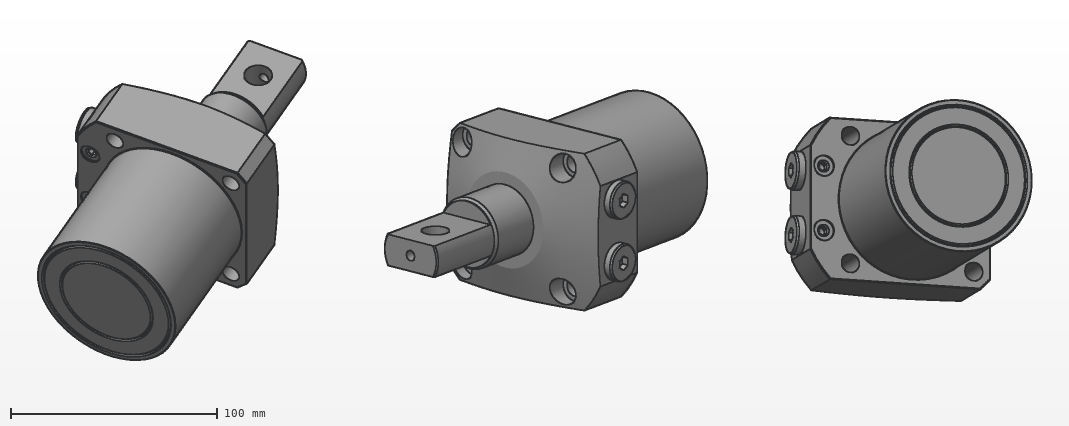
import cadquery as cq
import math


flange_half = 40.0
port_side = 52.0
flange_corner_radius = 58.0
flange_corner_chamfer = 5.0
flange_length = 38.2
flange_edge_chamfer = 0.45
cone_start_radius = 24.3
cone_angle = 16.0
mount_offset = 31.5
mount_hole_diameter = 9.0
counterbore_diameter = 14.0
counterbore_floor_y = 23.5

barrel_radius = 37.5
barrel_length = 71.0
barrel_end_chamfer = 0.27
collar_radius = 37.6
collar_length = 0.5
cap_groove_radius = 34.4
cap_groove_depth = 0.7
disc_groove_radius = 24.6
disc_groove_depth = 0.7

rod_diameter = 36.0
rod_length = 28.5
rod_chamfer_length = 1.6
tang_radius = 16.8
tang_base_length = 0.5
tang_length = 43.5
tang_thickness = 16.0
tang_end_chamfer = 0.7
cross_hole_diameter = 13.5
cross_hole_from_end = 19.0
end_hole_diameter = 5.0

port_offset = 16.0
port_y = 16.1
plug_radius = 9.5
plug_height = 4.5
plug_chamfer_width = 0.5
plug_chamfer_height = 1.0
plug_hex_width = 6.2
plug_hex_depth = 3.6
screw_x = -44.9
screw_radius = 5.0
screw_recess = 1.0
screw_length = 10.0
screw_hex_width = 4.0
screw_hex_depth = 4.5
screw_countersink_radius = 2.9
drill_point_slope = 30.0

rod_radius = rod_diameter / 2
rod_end_y = flange_length + rod_length
tip_y = rod_end_y + tang_length


def cylinder_along_y(radius, start, end):
    return cq.Workplane("XZ", origin=(0, start, 0)).circle(radius).extrude(start - end)


def revolve_about_y(points):
    """Solid of revolution from (radius, y) points."""
    return cq.Workplane("XY").polyline(points).close().revolve(360, (0, 0, 0), (0, 1, 0))


def hex_corner_diameter(width):
    return width / math.cos(math.radians(30))


def make_flange():
    corner_x = -math.sqrt(flange_corner_radius**2 - flange_half**2)
    corner_z = math.sqrt(flange_corner_radius**2 - port_side**2)
    middle_angle = (math.atan2(flange_half, corner_x) + math.atan2(corner_z, -port_side)) / 2
    middle_x = flange_corner_radius * math.cos(middle_angle)
    middle_z = flange_corner_radius * math.sin(middle_angle)
    chamfer_start = flange_half - flange_corner_chamfer
    plate = (
        cq.Workplane("XZ")
        .moveTo(corner_x, flange_half)
        .lineTo(chamfer_start, flange_half)
        .lineTo(flange_half, chamfer_start)
        .lineTo(flange_half, -chamfer_start)
        .lineTo(chamfer_start, -flange_half)
        .lineTo(corner_x, -flange_half)
        .threePointArc((middle_x, -middle_z), (-port_side, -corner_z))
        .lineTo(-port_side, corner_z)
        .threePointArc((middle_x, middle_z), (corner_x, flange_half))
        .close()
        .extrude(-flange_length)
        .faces("<Y")
        .chamfer(flange_edge_chamfer)
    )
    envelope_radius = flange_corner_radius + 1.8
    cone_drop = (envelope_radius - cone_start_radius) * math.tan(math.radians(cone_angle))
    cone_envelope = revolve_about_y([
        (0, 0),
        (envelope_radius, 0),
        (envelope_radius, flange_length - cone_drop),
        (cone_start_radius, flange_length),
        (0, flange_length),
    ])
    return plate.intersect(cone_envelope)


def make_v_groove(radius, depth):
    """Ring that cuts a 90 degree V groove into the barrel end."""
    end = -barrel_length
    return revolve_about_y([(radius - depth, end), (radius + depth, end), (radius, end + depth)])


def make_barrel():
    barrel = cylinder_along_y(barrel_radius, -barrel_length, 0).faces("<Y").chamfer(barrel_end_chamfer)
    collar = cylinder_along_y(collar_radius, -collar_length, 0)
    cap_groove = make_v_groove(cap_groove_radius, cap_groove_depth)
    disc_groove = make_v_groove(disc_groove_radius, disc_groove_depth)
    return barrel.union(collar).cut(cap_groove).cut(disc_groove)


def make_rod():
    flats_y = rod_end_y + tang_base_length
    rod = revolve_about_y([
        (0, flange_length),
        (rod_radius, flange_length),
        (rod_radius, rod_end_y - rod_chamfer_length),
        (tang_radius, rod_end_y),
        (tang_radius, tip_y - tang_end_chamfer),
        (tang_radius - tang_end_chamfer, tip_y),
        (0, tip_y),
    ])
    for side in (-1, 1):
        flat_cut = cq.Workplane("XY").box(
            2 * rod_radius, tip_y - flats_y, tang_radius, centered=(True, False, True)
        )
        rod = rod.cut(flat_cut.translate((0, flats_y, side * (tang_thickness + tang_radius) / 2)))
    cross_hole_y = tip_y - cross_hole_from_end
    cross_hole = (
        cq.Workplane("XY", origin=(0, cross_hole_y, 0))
        .circle(cross_hole_diameter / 2)
        .extrude(tang_thickness, both=True)
    )
    end_hole = cylinder_along_y(end_hole_diameter / 2, cross_hole_y, tip_y)
    return rod.cut(cross_hole).cut(end_hole)


def make_mount_cylinders(diameter, start, end):
    return (
        cq.Workplane("XZ", origin=(0, start, 0))
        .rect(2 * mount_offset, 2 * mount_offset, forConstruction=True)
        .vertices()
        .circle(diameter / 2)
        .extrude(start - end)
    )


def make_mount_holes():
    """Through holes with counterbores on the cone side."""
    holes = make_mount_cylinders(mount_hole_diameter, 0, flange_length)
    counterbores = make_mount_cylinders(counterbore_diameter, counterbore_floor_y, flange_length)
    return holes.union(counterbores)


def make_screw_holes():
    return (
        cq.Workplane("XZ")
        .pushPoints([(screw_x, -port_offset), (screw_x, port_offset)])
        .circle(screw_radius)
        .extrude(-(screw_recess + screw_length))
    )


def make_cylinder_body():
    body = make_flange().union(make_barrel()).union(make_rod())
    return body.cut(make_mount_holes()).cut(make_screw_holes())


def make_plug(z):
    """Round plug head on the port face, with a hex socket."""
    outer_face = -port_side - plug_height
    head = (
        cq.Workplane("YZ", origin=(-port_side, port_y, z))
        .circle(plug_radius)
        .extrude(-plug_height)
        .faces("<X")
        .chamfer(plug_chamfer_height, plug_chamfer_width)
    )
    socket = (
        cq.Workplane("YZ", origin=(outer_face, port_y, z))
        .transformed(rotate=(0, 0, 90))
        .polygon(6, hex_corner_diameter(plug_hex_width))
        .extrude(plug_hex_depth)
    )
    return head.cut(socket)


def make_screw(z):
    """Headless screw sunk below the flange face: countersunk hex socket with a drill-point bottom."""
    inward = cq.Vector(0, 1, 0)
    face = cq.Workplane("XZ", origin=(screw_x, screw_recess, z))
    socket = (
        face.transformed(rotate=(0, 0, 90))
        .polygon(6, hex_corner_diameter(screw_hex_width))
        .extrude(-screw_hex_depth)
    )
    hex_inner_radius = screw_hex_width / 2
    countersink = cq.Solid.makeCone(
        screw_countersink_radius,
        hex_inner_radius,
        screw_countersink_radius - hex_inner_radius,
        cq.Vector(screw_x, screw_recess, z),
        inward,
    )
    drill_point = cq.Solid.makeCone(
        hex_inner_radius,
        0,
        hex_inner_radius * math.tan(math.radians(drill_point_slope)),
        cq.Vector(screw_x, screw_recess + screw_hex_depth, z),
        inward,
    )
    blank = face.circle(screw_radius).extrude(-screw_length)
    return blank.cut(socket).cut(cq.Workplane(countersink)).cut(cq.Workplane(drill_point))


cylinder_body = make_cylinder_body()
plugs = [make_plug(side * port_offset) for side in (-1, 1)]
valve_screws = [make_screw(side * port_offset) for side in (-1, 1)]

result = cq.Compound.makeCompound(
    [cylinder_body.val()]
    + [plug.val() for plug in plugs]
    + [screw.val() for screw in valve_screws]
)